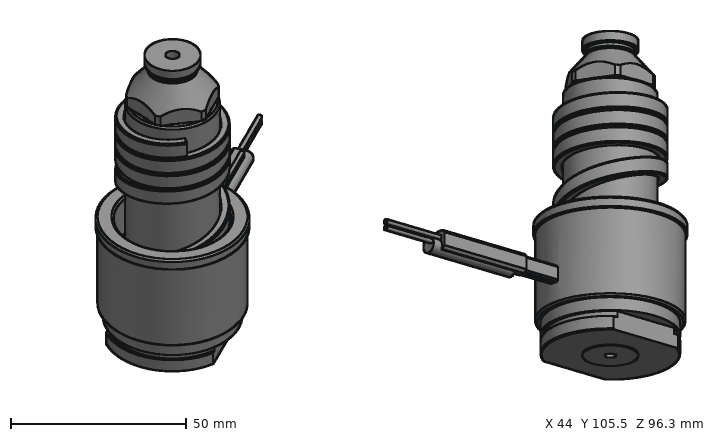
import cadquery as cq
import math

PAD_TOP = 0.3
BASE_TOP = 4.4
GROOVE_TOP = 6.2
STEP_TOP = 10.1
FLOOR_TOP = 14.8
RIM_BOTTOM = 36.9
RIM_TOP = 40.4
BODY_TOP = 80.4
NUT_BOTTOM = 80.7
CONE_TOP = 91.4
NECK_GROOVE_BOTTOM = 91.8
NECK_GROOVE_TOP = 92.1
CAP_BOTTOM = 93.2
OVERALL_HEIGHT = 96.3

CAP_RADIUS = 8.0
NECK_GROOVE_RADIUS = 6.9
NECK_RADIUS = 7.2
NUT_RADIUS = 13.4
NUT_COLLAR_RADIUS = 11.6
BODY_RADIUS = 13.5
SLEEVE_BORE_RADIUS = 16.8
BASE_RADIUS = 19.9
GROOVE_RADIUS = 19.1
SLEEVE_RADIUS = 42.9 / 2
RIM_RADIUS = 44.0 / 2
EDGE_CHAMFER = 0.6
FINE_CHAMFER = 0.3

BASE_FLATS_WIDTH = 32.1
HEX_FLATS_WIDTH = 24.0
CONE_RISE_PER_RADIUS = 1.2

BORE_RADIUS = 1.6
NOZZLE_BORE_RADIUS = 2.0

SPRING_INNER_RADIUS = 13.9
SPRING_OUTER_RADIUS = 16.4
SPRING_STRIP_HEIGHT = 5.0
SPRING_CHAMFER = 0.4
SPRING_TOP = 76.8
CLOSE_PITCH = 5.3
WIDE_PITCH = 26.4
FULL_TURN = 360
SPRING_END_TURN = -57 / FULL_TURN
CLOSE_TURNS = 3 + 12 / FULL_TURN
EASING_TURNS = 118 / FULL_TURN
WIDE_TURNS = 1.6
SPRING_POINTS_PER_TURN = 36

CABLE_X = -1.4
CABLE_Z = 19.2
CABLE_START_Y = 19.0
CABLE_WIDTH = 2.5
CABLE_HEIGHT = 5.0
CABLE_CHAMFER = 0.5
SLEEVING_START_Y = 33.4
SLEEVING_LENGTH = 30.2
SLEEVING_WIDTH = 4.0
SLEEVING_HEIGHT = 5.9
SLEEVING_CHAMFER = 1.0
OVERALL_LENGTH = 105.5
WIRE_END_Y = OVERALL_LENGTH - RIM_RADIUS
WIRE_RADIUS = 0.7
WIRE_SPACING = 1.9
CABLE_OVERLAP = 1.1
PROBE_X = 0.0
PROBE_Z = 18.1
PROBE_RADIUS = 1.4
PROBE_SLEEVING_Z = 17.5
PROBE_SLEEVING_RADIUS = 4.7 / 2
PROBE_SLEEVING_START_Y = 36.5


def disc(radius, bottom, top):
    return cq.Workplane("XY").workplane(offset=bottom).circle(radius).extrude(top - bottom)


def box_between_flats(width, bottom, top):
    """Slab bounded by two faces square to X."""
    slab = cq.Workplane("XY").box(width, 2 * RIM_RADIUS, top - bottom, centered=(True, True, False))
    return slab.translate((0, 0, bottom))


def make_base():
    pad = disc(CAP_RADIUS, 0, PAD_TOP)
    foot = disc(BASE_RADIUS, PAD_TOP, BASE_TOP).faces("<Z").chamfer(FINE_CHAMFER)
    groove = disc(GROOVE_RADIUS, BASE_TOP, GROOVE_TOP)
    flatted = foot.union(groove).intersect(box_between_flats(BASE_FLATS_WIDTH, PAD_TOP, GROOVE_TOP))
    step = disc(BASE_RADIUS, GROOVE_TOP, STEP_TOP)
    return pad.union(flatted).union(step)


def make_sleeve():
    wall = disc(SLEEVE_RADIUS, STEP_TOP, RIM_BOTTOM).faces("<Z").chamfer(EDGE_CHAMFER)
    rim = disc(RIM_RADIUS, RIM_BOTTOM, RIM_TOP)
    rim = rim.faces(">Z").chamfer(EDGE_CHAMFER).faces("<Z").chamfer(FINE_CHAMFER)
    bore = disc(SLEEVE_BORE_RADIUS, FLOOR_TOP, RIM_TOP)
    sleeve = wall.union(rim).cut(bore)
    return sleeve.edges(cq.selectors.RadiusNthSelector(0)).edges(">Z").chamfer(EDGE_CHAMFER)


def make_body():
    return disc(BODY_RADIUS, STEP_TOP, BODY_TOP).faces(">Z").chamfer(EDGE_CHAMFER)


def make_nut():
    cone_bottom = CONE_TOP - CONE_RISE_PER_RADIUS * (NUT_RADIUS - NECK_RADIUS)
    turned = (
        cq.Workplane("XZ")
        .moveTo(0, NUT_BOTTOM)
        .lineTo(NUT_RADIUS, NUT_BOTTOM)
        .lineTo(NUT_RADIUS, cone_bottom)
        .lineTo(NECK_RADIUS, CONE_TOP)
        .lineTo(0, CONE_TOP)
        .close()
        .revolve(FULL_TURN, (0, 0), (0, 1))
    )
    corner_circle = HEX_FLATS_WIDTH / math.cos(math.pi / 6)
    hexagon = (
        cq.Workplane("XY")
        .workplane(offset=NUT_BOTTOM)
        .polygon(6, corner_circle)
        .extrude(CONE_TOP - NUT_BOTTOM)
        .rotate((0, 0, 0), (0, 0, 1), 30)
    )
    collar = disc(NUT_COLLAR_RADIUS, BODY_TOP, NUT_BOTTOM)
    neck = disc(NECK_RADIUS, CONE_TOP, NECK_GROOVE_BOTTOM)
    neck = neck.union(disc(NECK_GROOVE_RADIUS, NECK_GROOVE_BOTTOM, NECK_GROOVE_TOP))
    neck = neck.union(disc(NECK_RADIUS, NECK_GROOVE_TOP, CAP_BOTTOM))
    cap = disc(CAP_RADIUS, CAP_BOTTOM, OVERALL_HEIGHT).faces("<Z").chamfer(FINE_CHAMFER)
    return turned.intersect(hexagon).union(collar).union(neck).union(cap)


def spring_drop(turns):
    """Fall of the strip below its upper end after a number of turns."""
    easing = min(max(turns - CLOSE_TURNS, 0), EASING_TURNS)
    wide = max(turns - CLOSE_TURNS - EASING_TURNS, 0)
    pitch_gain = WIDE_PITCH - CLOSE_PITCH
    return CLOSE_PITCH * turns + pitch_gain * (easing**2 / (2 * EASING_TURNS) + wide)


def make_spring():
    """Strip with chamfered outer edges, bounded by ruled faces between its corner curves."""
    total_turns = CLOSE_TURNS + EASING_TURNS + WIDE_TURNS
    count = math.ceil(total_turns * SPRING_POINTS_PER_TURN)

    def corner_curve(radius, end_height):
        points = []
        for i in range(count + 1):
            turns = total_turns * i / count
            angle = 2 * math.pi * (SPRING_END_TURN - turns)
            height = end_height - spring_drop(turns)
            points.append(cq.Vector(radius * math.cos(angle), radius * math.sin(angle), height))
        return cq.Edge.makeSpline(points)

    strip_bottom = SPRING_TOP - SPRING_STRIP_HEIGHT
    land_radius = SPRING_OUTER_RADIUS - SPRING_CHAMFER
    curves = [
        corner_curve(SPRING_INNER_RADIUS, strip_bottom),
        corner_curve(land_radius, strip_bottom),
        corner_curve(SPRING_OUTER_RADIUS, strip_bottom + SPRING_CHAMFER),
        corner_curve(SPRING_OUTER_RADIUS, SPRING_TOP - SPRING_CHAMFER),
        corner_curve(land_radius, SPRING_TOP),
        corner_curve(SPRING_INNER_RADIUS, SPRING_TOP),
    ]
    faces = [cq.Face.makeRuledSurface(curves[i - 1], curves[i]) for i in range(len(curves))]
    for end in (0, 1):
        corners = [curve.positionAt(end) for curve in curves]
        faces.append(cq.Face.makeFromWires(cq.Wire.makePolygon(corners, close=True)))
    return cq.Workplane(cq.Solid.makeSolid(cq.Shell.makeShell(faces)))


def bar_along_y(width, height, chamfer, start, length):
    bar = cq.Workplane("XY").box(width, length, height, centered=(True, False, True))
    return bar.edges("|Y").chamfer(chamfer).translate((CABLE_X, start, CABLE_Z))


def rod_along_y(radius, x, z, start, end):
    return cq.Workplane("XZ", origin=(x, start, z)).circle(radius).extrude(start - end)


def make_cable():
    sleeving_end = SLEEVING_START_Y + SLEEVING_LENGTH
    probe_end = PROBE_SLEEVING_START_Y + SLEEVING_LENGTH
    cord_length = SLEEVING_START_Y + CABLE_OVERLAP - CABLE_START_Y
    cable = bar_along_y(CABLE_WIDTH, CABLE_HEIGHT, CABLE_CHAMFER, CABLE_START_Y, cord_length)
    sleeving = bar_along_y(
        SLEEVING_WIDTH, SLEEVING_HEIGHT, SLEEVING_CHAMFER, SLEEVING_START_Y, SLEEVING_LENGTH
    )
    cable = cable.union(sleeving)
    probe = rod_along_y(PROBE_RADIUS, PROBE_X, PROBE_Z, CABLE_START_Y, probe_end)
    probe_sleeving = rod_along_y(
        PROBE_SLEEVING_RADIUS, PROBE_X, PROBE_SLEEVING_Z, PROBE_SLEEVING_START_Y, probe_end
    )
    cable = cable.union(probe).union(probe_sleeving)
    for side in (-1, 1):
        wire_z = CABLE_Z + side * WIRE_SPACING / 2
        wire = rod_along_y(WIRE_RADIUS, CABLE_X, wire_z, sleeving_end - CABLE_OVERLAP, WIRE_END_Y)
        cable = cable.union(wire)
    return cable


def make_bore():
    nozzle_bore = disc(NOZZLE_BORE_RADIUS, BODY_TOP, OVERALL_HEIGHT)
    return disc(BORE_RADIUS, 0, OVERALL_HEIGHT).union(nozzle_bore)


housing = make_base().union(make_sleeve()).union(make_body()).union(make_nut())
housing = housing.union(make_cable()).cut(make_bore())
result = housing.union(make_spring())